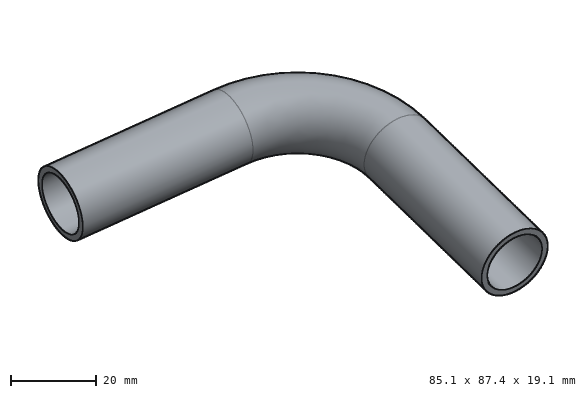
import cadquery as cq
import math

overall_length = 87.4
outer_diameter = 19.05
inner_diameter = 15.7
bend_radius = 28.6
bend_angle = 88.0

outer_radius = outer_diameter / 2
sin_bend = math.sin(math.radians(bend_angle))
cos_bend = math.cos(math.radians(bend_angle))

leg_length = (overall_length - (bend_radius + outer_radius) * sin_bend) / (1 + cos_bend)


def bend_point(angle):
    """Point on the bend centreline after turning through the angle, in degrees."""
    turn = math.radians(angle)
    return (
        bend_radius * (1 - math.cos(turn)),
        leg_length + bend_radius * math.sin(turn),
    )


bend_end = bend_point(bend_angle)
second_leg_end = (
    bend_end[0] + leg_length * sin_bend,
    bend_end[1] + leg_length * cos_bend,
)
centreline = (
    cq.Workplane("XY")
    .lineTo(0, leg_length)
    .threePointArc(bend_point(bend_angle / 2), bend_end)
    .lineTo(*second_leg_end)
)

result = (
    cq.Workplane("XZ")
    .circle(outer_radius)
    .circle(inner_diameter / 2)
    .sweep(centreline)
)